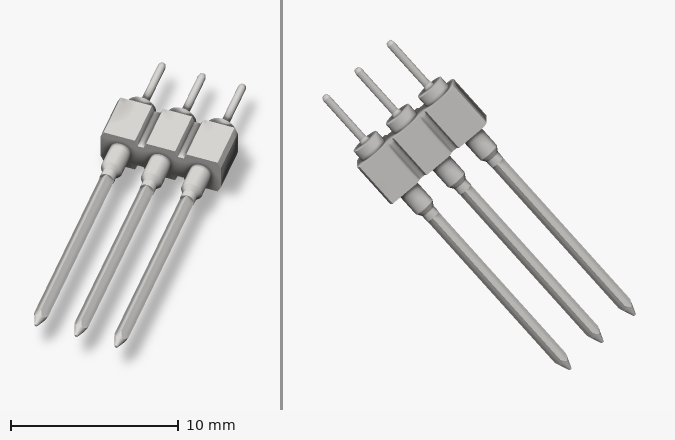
import cadquery as cq

overall_length = 22.35
pin_count = 3
body_width = 7.62
body_height = 2.55
body_length = 3.0
pitch = body_width / pin_count
end_chamfer_width = 0.2
chamfer_depth = 0.42
notch_floor_width = 0.38
notch_opening_width = 0.72

flange_diameter = 1.83
flange_length = 0.74
tail_diameter = 0.5
tail_length = 3.71
tail_root_diameter = 0.72
tail_root_length = 0.25
tail_end_diameter = 0.35
tail_end_length = 0.2

barrel_diameter = 1.35
barrel_length = 1.6
shoulder_length = 0.34
neck_diameter = 0.92
post_diagonal = 0.9
neck_length = 0.47
tip_diameter = 0.18
tip_length = 0.96

flange_rear = body_length + flange_length
tail_end = flange_rear + tail_length
barrel_front = -barrel_length
shoulder_front = barrel_front - shoulder_length
neck_front = shoulder_front - neck_length
post_tip = tail_end - overall_length
post_length = neck_front - post_tip


def make_body():
    half_width = body_width / 2
    half_height = body_height / 2
    shoulder_height = half_height - chamfer_depth
    upper_edge = [
        (-half_width, shoulder_height),
        (-half_width + end_chamfer_width, half_height),
    ]
    for cell in range(1, pin_count):
        notch_x = -half_width + cell * pitch
        upper_edge += [
            (notch_x - notch_opening_width / 2, half_height),
            (notch_x - notch_floor_width / 2, shoulder_height),
            (notch_x + notch_floor_width / 2, shoulder_height),
            (notch_x + notch_opening_width / 2, half_height),
        ]
    upper_edge += [
        (half_width - end_chamfer_width, half_height),
        (half_width, shoulder_height),
    ]
    lower_edge = [(x, -z) for x, z in reversed(upper_edge)]
    return cq.Workplane("XZ").polyline(upper_edge + lower_edge).close().extrude(-body_length)


def revolve_about_y(profile):
    return cq.Workplane("XY").polyline(profile).close().revolve(360, (0, 0, 0), (0, 1, 0))


def make_turned_section():
    return revolve_about_y([
        (0, neck_front),
        (neck_diameter / 2, neck_front),
        (neck_diameter / 2, shoulder_front),
        (barrel_diameter / 2, barrel_front),
        (barrel_diameter / 2, body_length),
        (flange_diameter / 2, body_length),
        (flange_diameter / 2, flange_rear),
        (tail_root_diameter / 2, flange_rear),
        (tail_diameter / 2, flange_rear + tail_root_length),
        (tail_diameter / 2, tail_end - tail_end_length),
        (tail_end_diameter / 2, tail_end),
        (0, tail_end),
    ])


def make_post():
    square_post = (
        cq.Workplane("XZ", origin=(0, neck_front, 0))
        .polygon(4, post_diagonal)
        .extrude(post_length)
    )
    pointed_envelope = revolve_about_y([
        (0, neck_front),
        (neck_diameter / 2, neck_front),
        (neck_diameter / 2, post_tip + tip_length),
        (tip_diameter / 2, post_tip),
        (0, post_tip),
    ])
    return square_post.intersect(pointed_envelope)


pin = make_turned_section().union(make_post())
result = make_body()
for index in range(pin_count):
    pin_x = (index - (pin_count - 1) / 2) * pitch
    result = result.union(pin.translate((pin_x, 0, 0)))